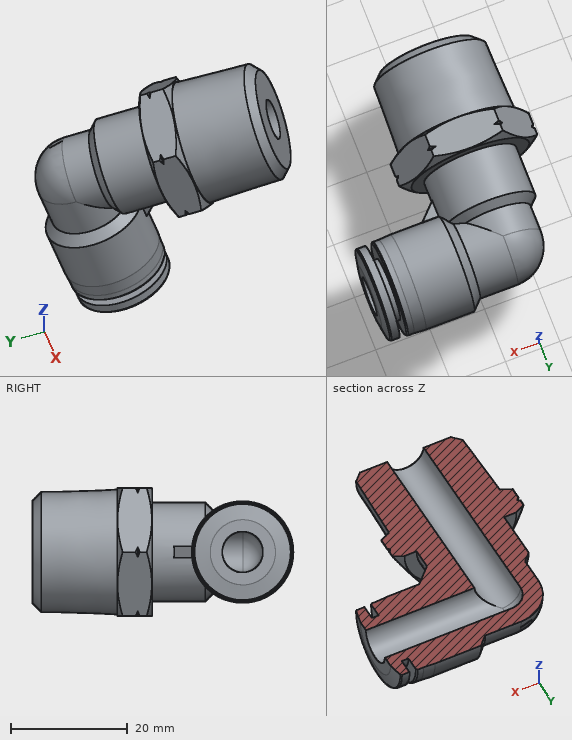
import cadquery as cq
import math

elbow_radius = 7.03
bore_radius = 3.5

sleeve_radius = 8.5
sleeve_end_y = -4.92
sleeve_shoulder_y = sleeve_end_y - (sleeve_radius - elbow_radius)
hex_top_y = -15.5
hex_bottom_y = -21.52
thread_end_y = -36.02
thread_root_radius = 10.75
thread_tip_radius = 10.35
thread_chamfer = 1.5

hex_flats = 22.0
hex_corner_radius = hex_flats / math.sqrt(3)
hex_chamfer_radius = 10.85
hex_chamfer_angle = 27
notch_height = 0.7
notch_depth = 0.45
notch_y = -18.0

socket_radius = 8.73
socket_cone_x = 6.9
socket_start_x = socket_cone_x + (socket_radius - elbow_radius)
socket_taper_x = 17.55
socket_taper_end_x = 19.7
socket_lip_radius = 8.6
socket_end_x = 21.05
socket_lip_chamfer = 0.25
neck_radius = 5.6
collar_start_x = 22.25
collar_radius = 8.4
collar_rim_x = 24.0
collar_chamfer_start_x = 23.7
collar_rim_radius = 8.25
collar_end_x = 24.52
collar_face_radius = 5.6

web_reach = 11.5
web_thickness = 2.0
web_overlap = 0.45


def revolve_about_y(profile):
    """Revolve (radius, y) points, closed along the Y axis."""
    return cq.Workplane("XY").polyline(profile).close().revolve(360, (0, 0), (0, 1))


def make_threaded_leg():
    sleeve = revolve_about_y([
        (0, 0),
        (elbow_radius, 0),
        (elbow_radius, sleeve_end_y),
        (sleeve_radius, sleeve_shoulder_y),
        (sleeve_radius, hex_bottom_y),
        (0, hex_bottom_y),
    ])
    thread = revolve_about_y([
        (0, hex_top_y),
        (thread_root_radius, hex_top_y),
        (thread_root_radius, hex_bottom_y),
        (thread_tip_radius, thread_end_y + thread_chamfer),
        (thread_tip_radius - thread_chamfer, thread_end_y),
        (0, thread_end_y),
    ])
    return sleeve.union(thread)


def make_nut():
    """Hexagon with corners on the X axis, chamfered at both ends and notched at each corner."""
    nut = (
        cq.Workplane("XZ", origin=(0, hex_top_y, 0))
        .polygon(6, 2 * hex_corner_radius)
        .extrude(hex_top_y - hex_bottom_y)
    )
    chamfer_drop = (hex_corner_radius - hex_chamfer_radius) * math.tan(math.radians(hex_chamfer_angle))
    nut = nut.intersect(revolve_about_y([
        (0, hex_top_y),
        (hex_chamfer_radius, hex_top_y),
        (hex_corner_radius, hex_top_y - chamfer_drop),
        (hex_corner_radius, hex_bottom_y + chamfer_drop),
        (hex_chamfer_radius, hex_bottom_y),
        (0, hex_bottom_y),
    ]))
    notch = revolve_about_y([
        (hex_corner_radius - notch_depth, notch_y),
        (hex_corner_radius, notch_y + notch_height / 2),
        (hex_corner_radius, notch_y - notch_height / 2),
    ])
    return nut.cut(notch)


def make_tube_leg():
    profile = (
        cq.Workplane("XY")
        .moveTo(0, 0)
        .lineTo(0, elbow_radius)
        .lineTo(socket_cone_x, elbow_radius)
        .lineTo(socket_start_x, socket_radius)
        .lineTo(socket_taper_x, socket_radius)
        .lineTo(socket_taper_end_x, socket_lip_radius)
        .lineTo(socket_end_x - socket_lip_chamfer, socket_lip_radius)
        .lineTo(socket_end_x, socket_lip_radius - socket_lip_chamfer)
        .lineTo(socket_end_x, neck_radius)
        .lineTo(collar_start_x, neck_radius)
        .lineTo(collar_start_x, collar_radius)
        .lineTo(collar_chamfer_start_x, collar_radius)
        .lineTo(collar_rim_x, collar_rim_radius)
        .lineTo(collar_end_x, collar_face_radius)
        .lineTo(collar_end_x, 0)
        .close()
    )
    return profile.revolve(360, (0, 0), (1, 0))


def make_web():
    """Triangle whose sloping edge crosses the inner corner at 45 degrees."""
    outer_y = sleeve_radius - web_reach - socket_radius
    return (
        cq.Workplane("XY")
        .polyline([
            (sleeve_radius - web_overlap, -socket_radius + web_overlap),
            (web_reach + web_overlap, -socket_radius + web_overlap),
            (sleeve_radius - web_overlap, outer_y - web_overlap),
        ])
        .close()
        .extrude(web_thickness / 2, both=True)
    )


def make_bore():
    """Bore from the thread face round the elbow and out through the collar."""
    thread_bore = cq.Workplane("XZ").circle(bore_radius).extrude(-thread_end_y)
    tube_bore = cq.Workplane("YZ").circle(bore_radius).extrude(collar_end_x)
    corner = cq.Workplane("XY").sphere(bore_radius)
    return thread_bore.union(tube_bore).union(corner)


elbow = cq.Workplane("XY").sphere(elbow_radius)
body = elbow.union(make_threaded_leg()).union(make_tube_leg()).union(make_nut()).union(make_web())
result = body.cut(make_bore())